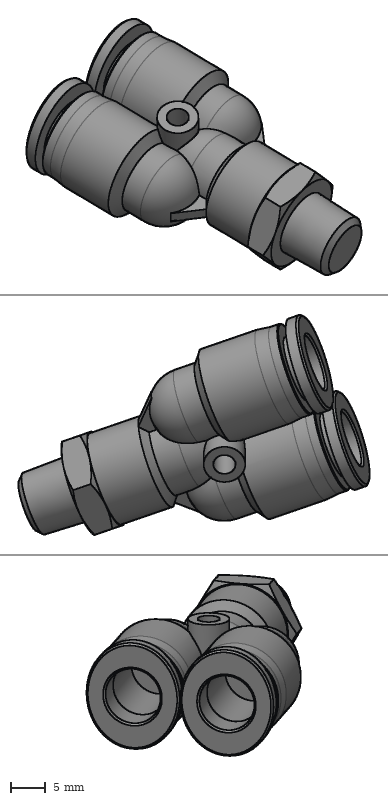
import cadquery as cq
import math

PORT_OFFSET = 7.0
SIDES = (-1, 1)

COLLAR_WIDTH = 13.9
COLLAR_HEIGHT = 16.0
COLLAR_THICKNESS = 1.9
COLLAR_CHAMFER = 0.3
SLEEVE_DIAMETER = 9.7
SLEEVE_END = 4.75
TUBE_BORE_DIAMETER = 8.2
BORE_CHAMFER = 0.3
BORE_DEPTH = 15.4

BODY_START = 3.1
LIP_DIAMETER = 13.9
LIP_CHAMFER = 0.15
LIP_END = 4.6
BARREL_DIAMETER = 14.4
BARREL_START = 6.65
BARREL_END = 15.4
NECK_DIAMETER = 11.2
NECK_START = 16.7
BRANCH_DOME_CENTRE = 20.0

STEM_DIAMETER = NECK_DIAMETER
STEM_DOME_CENTRE = 22.7
STEM_END = 26.62
HUB_START = 27.7
HUB_DIAMETER = 14.0
WEB_THICKNESS = 1.85
WEB_ANGLE = 42.0
POST_X = 17.12
POST_DIAMETER = 6.0
POST_HEIGHT = 14.5
POST_HOLE_DIAMETER = 3.2

HEX_START = 35.65
HEX_LENGTH = 4.05
HEX_ACROSS_FLATS = 14.3
HEX_CHAMFER_ANGLE = 30.0
TOTAL_LENGTH = 47.7
THREAD_START_DIAMETER = 9.95
THREAD_TAPER = 1 / 16
THREAD_CHAMFER = 0.85


def revolve_about_x(profile):
    """Revolve a closed (x, radius) profile drawn in the XY plane about the X axis."""
    return profile.close().revolve(360, (0, 0, 0), (1, 0, 0))


def cylinder_along_x(start, end, diameter):
    return cq.Workplane("YZ", origin=(start, 0, 0)).circle(diameter / 2).extrude(end - start)


def make_collar(side):
    """Oval push ring with a round sleeve that reaches down into the body."""
    flange = (
        cq.Workplane("YZ")
        .ellipse(COLLAR_WIDTH / 2, COLLAR_HEIGHT / 2)
        .extrude(COLLAR_THICKNESS)
        .faces("<X")
        .chamfer(COLLAR_CHAMFER)
    )
    bore_radius = TUBE_BORE_DIAMETER / 2
    bore = revolve_about_x(
        cq.Workplane("XY")
        .lineTo(0, bore_radius + BORE_CHAMFER)
        .lineTo(BORE_CHAMFER, bore_radius)
        .lineTo(SLEEVE_END, bore_radius)
        .lineTo(SLEEVE_END, 0)
    )
    collar = flange.union(cylinder_along_x(0, SLEEVE_END, SLEEVE_DIAMETER)).cut(bore)
    return collar.translate((0, side * PORT_OFFSET, 0))


def make_branch(side):
    """Stepped barrel with a narrower neck that ends in a spherical dome."""
    lip_radius = LIP_DIAMETER / 2
    barrel_radius = BARREL_DIAMETER / 2
    neck_radius = NECK_DIAMETER / 2
    diagonal = neck_radius * math.sqrt(0.5)
    branch = revolve_about_x(
        cq.Workplane("XY")
        .moveTo(BODY_START, 0)
        .lineTo(BODY_START, lip_radius - LIP_CHAMFER)
        .lineTo(BODY_START + LIP_CHAMFER, lip_radius)
        .lineTo(LIP_END, lip_radius)
        .lineTo(BARREL_START, barrel_radius)
        .lineTo(BARREL_END, barrel_radius)
        .lineTo(NECK_START, neck_radius)
        .lineTo(BRANCH_DOME_CENTRE, neck_radius)
        .threePointArc(
            (BRANCH_DOME_CENTRE + diagonal, diagonal),
            (BRANCH_DOME_CENTRE + neck_radius, 0),
        )
    )
    return branch.translate((0, side * PORT_OFFSET, 0))


def make_stem():
    """Dome and stem that flare out to the hub cylinder that meets the stud."""
    stem_radius = STEM_DIAMETER / 2
    hub_radius = HUB_DIAMETER / 2
    diagonal = stem_radius * math.sqrt(0.5)
    return revolve_about_x(
        cq.Workplane("XY")
        .moveTo(STEM_DOME_CENTRE - stem_radius, 0)
        .threePointArc(
            (STEM_DOME_CENTRE - diagonal, diagonal),
            (STEM_DOME_CENTRE, stem_radius),
        )
        .lineTo(STEM_END, stem_radius)
        .lineTo(HUB_START, hub_radius)
        .lineTo(HEX_START, hub_radius)
        .lineTo(HEX_START, 0)
    )


def make_web(side):
    """Flat web that fills the corner between a branch dome and the hub."""
    angle = math.radians(WEB_ANGLE)
    neck_radius = NECK_DIAMETER / 2
    dome_point = (
        BRANCH_DOME_CENTRE + neck_radius * math.cos(angle),
        side * (PORT_OFFSET + neck_radius * math.sin(angle)),
    )
    return (
        cq.Workplane("XY")
        .moveTo(BRANCH_DOME_CENTRE, side * PORT_OFFSET)
        .lineTo(*dome_point)
        .lineTo(HUB_START, side * HUB_DIAMETER / 2)
        .lineTo(HUB_START, 0)
        .lineTo(STEM_DOME_CENTRE, 0)
        .close()
        .extrude(WEB_THICKNESS / 2, both=True)
    )


def make_body():
    """Y-shaped housing with its mounting post and the two collar sockets."""
    post_centre = cq.Workplane("XY").center(POST_X, 0)
    post = post_centre.circle(POST_DIAMETER / 2).extrude(POST_HEIGHT / 2, both=True)
    post_hole = post_centre.circle(POST_HOLE_DIAMETER / 2).extrude(POST_HEIGHT / 2, both=True)
    body = make_stem().union(post)
    for side in SIDES:
        body = body.union(make_branch(side)).union(make_web(side))
    body = body.cut(post_hole)
    collar_socket = cylinder_along_x(BODY_START, SLEEVE_END, SLEEVE_DIAMETER)
    tube_bore = cylinder_along_x(BODY_START, BORE_DEPTH, TUBE_BORE_DIAMETER)
    port = collar_socket.union(tube_bore)
    for side in SIDES:
        body = body.cut(port.translate((0, side * PORT_OFFSET, 0)))
    return body


def make_stud():
    """Hexagon chamfered at both ends, followed by a tapered thread blank."""
    hex_end = HEX_START + HEX_LENGTH
    corner_radius = HEX_ACROSS_FLATS / math.sqrt(3)
    flat_radius = HEX_ACROSS_FLATS / 2
    chamfer_length = (corner_radius - flat_radius) * math.tan(math.radians(HEX_CHAMFER_ANGLE))
    hexagon = (
        cq.Workplane("YZ", origin=(HEX_START, 0, 0)).polygon(6, 2 * corner_radius).extrude(HEX_LENGTH)
    )
    chamfer_envelope = revolve_about_x(
        cq.Workplane("XY")
        .moveTo(HEX_START, 0)
        .lineTo(HEX_START, flat_radius)
        .lineTo(HEX_START + chamfer_length, corner_radius)
        .lineTo(hex_end - chamfer_length, corner_radius)
        .lineTo(hex_end, flat_radius)
        .lineTo(hex_end, 0)
    )
    thread_radius = THREAD_START_DIAMETER / 2
    chamfer_start = TOTAL_LENGTH - THREAD_CHAMFER
    tip_radius = thread_radius - THREAD_TAPER / 2 * (chamfer_start - hex_end)
    thread = revolve_about_x(
        cq.Workplane("XY")
        .moveTo(hex_end, 0)
        .lineTo(hex_end, thread_radius)
        .lineTo(chamfer_start, tip_radius)
        .lineTo(TOTAL_LENGTH, tip_radius - THREAD_CHAMFER)
        .lineTo(TOTAL_LENGTH, 0)
    )
    return hexagon.intersect(chamfer_envelope).union(thread)


body = make_body()
collars = [make_collar(side) for side in SIDES]
stud = make_stud()

result = cq.Compound.makeCompound(
    [
        body.solids().val(),
        *[collar.solids().val() for collar in collars],
        stud.solids().val(),
    ]
)